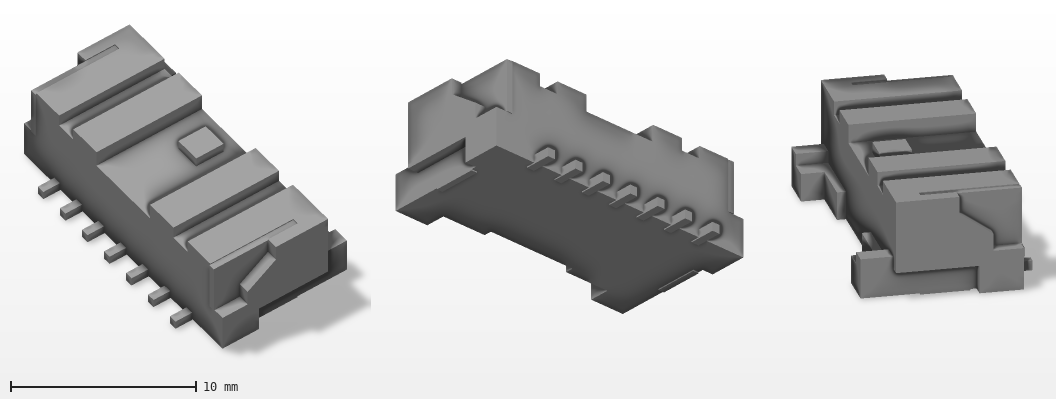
import cadquery as cq


housing_width = 18.0
housing_depth = 7.1
housing_top = 5.8
standoff = 0.07

side_groove_width = 1.28
side_groove_depth = 0.8
side_groove_offset = 5.18
centre_groove_width = 4.86
centre_groove_depth = 1.06

key_width = 1.62
key_length = 1.84
key_height = 0.61
key_start = 4.3

end_recess = 0.72
foot_length = 2.47
overhang_height = 1.67
pocket_floor = 2.48
pocket_low_depth = 1.7
pocket_slope_bottom = 3.47
pocket_slope_top = 4.8
pocket_high_depth = 3.58

arm_reach = 1.8
arm_height = 2.35
arm_wall = 1.06
ledge_width = 1.25
ledge_height = overhang_height
lip_reach = 0.5
lip_width = 3.0

plate_thickness = 0.4
plate_length = 5.58
plate_top_gap = 0.07
plate_step = 0.05
tab_start = 2.79

contact_count = 7
contact_pitch = 2.0
contact_width = 0.5
contact_height = 0.55
contact_reach = 1.12
contact_seat = 0.58

inner_end = housing_width / 2 - end_recess
plate_span = (inner_end - plate_thickness, inner_end)


def block(x_range, y_range, z_range):
    """Box spanning the given (low, high) ranges."""
    (x0, x1), (y0, y1), (z0, z1) = x_range, y_range, z_range
    return cq.Workplane("XY").box(x1 - x0, y1 - y0, z1 - z0, centered=False).translate((x0, y0, z0))


def both_ends(shape):
    """Shape at the +X end together with its mirror image at the -X end."""
    return shape.union(shape.mirror("YZ"))


def groove(centre, width, depth):
    """Cutter for a groove running the whole depth of the housing."""
    return block(
        (centre - width / 2, centre + width / 2),
        (0, housing_depth),
        (housing_top - depth, housing_top),
    )


def make_housing():
    half_width = housing_width / 2
    body = block((-half_width, half_width), (0, housing_depth), (standoff, housing_top))
    body = body.cut(groove(0, centre_groove_width, centre_groove_depth))
    for side in (-1, 1):
        body = body.cut(groove(side * side_groove_offset, side_groove_width, side_groove_depth))

    undercut = block((inner_end, half_width), (foot_length, housing_depth), (standoff, overhang_height))
    pocket = (
        cq.Workplane("YZ", origin=(inner_end, 0, 0))
        .polyline([
            (0, pocket_floor),
            (pocket_low_depth, pocket_floor),
            (pocket_low_depth, pocket_slope_bottom),
            (pocket_high_depth, pocket_slope_top),
            (pocket_high_depth, housing_top),
            (0, housing_top),
        ])
        .close()
        .extrude(end_recess)
    )
    return body.cut(both_ends(undercut)).cut(both_ends(pocket))


def make_key():
    key_floor = housing_top - centre_groove_depth
    return block(
        (-key_width / 2, key_width / 2),
        (key_start, key_start + key_length),
        (key_floor, key_floor + key_height),
    )


def make_arm():
    """Arm at the +X end: tall outer wall, lower ledge and a short lip."""
    wall_inside = inner_end - arm_wall
    ledge_inside = wall_inside - ledge_width
    lip_inside = ledge_inside - lip_width
    arm_span = (housing_depth, housing_depth + arm_reach)
    lip_span = (housing_depth, housing_depth + lip_reach)
    wall = block((wall_inside, inner_end), arm_span, (standoff, arm_height))
    ledge = block((ledge_inside, wall_inside), arm_span, (standoff, ledge_height))
    lip = block((lip_inside, ledge_inside), lip_span, (standoff, ledge_height))
    return wall.union(ledge).union(lip)


def make_plate_slot():
    """Shallow slot above the plate at the +X end."""
    return block(plate_span, (0, plate_length), (housing_top - plate_top_gap, housing_top))


def make_plate():
    """Plate at the +X end, with a tab reaching down to the mounting plane."""
    plate_top = housing_top - plate_top_gap
    plate = block(plate_span, (-plate_step, plate_length), (pocket_floor, plate_top))
    tab = block(plate_span, (tab_start, plate_length), (0, pocket_floor))
    return plate.union(tab)


def make_contact(index):
    centre = (index - (contact_count - 1) / 2) * contact_pitch
    return block(
        (centre - contact_width / 2, centre + contact_width / 2),
        (-contact_reach, contact_seat),
        (0, contact_height),
    )


result = make_housing().union(make_key())
result = result.union(both_ends(make_arm()))
result = result.cut(both_ends(make_plate_slot())).union(both_ends(make_plate()))
for contact_index in range(contact_count):
    result = result.union(make_contact(contact_index))